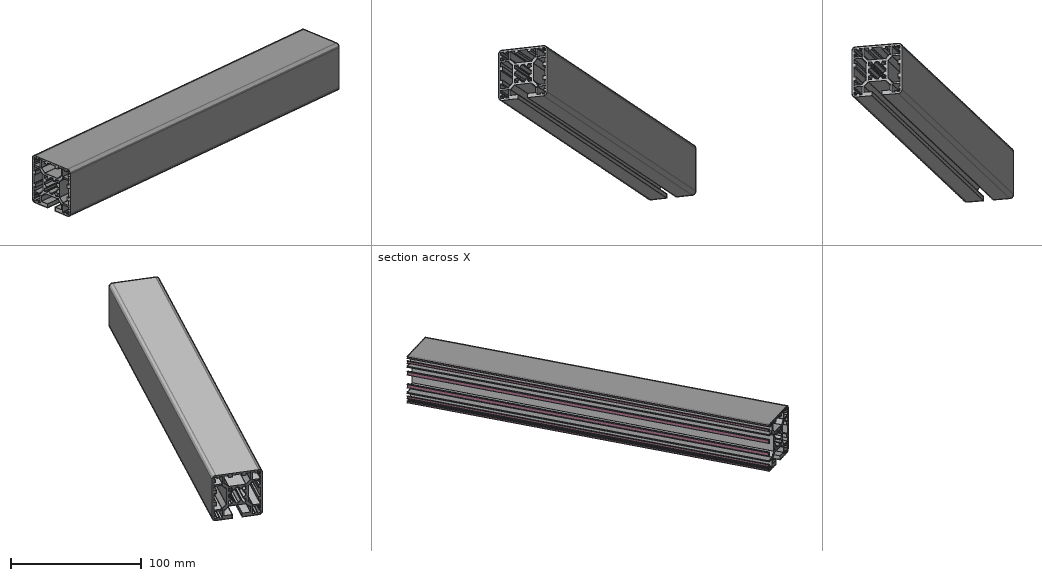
import cadquery as cq
import math

length = 300.0
side = 40.0
corner_radius = 3.0
wall = 1.65

half = side / 2
inner_half = half - wall

slot_width = 7.8
lip_thickness = 3.3
rib_width = 3.0

web = 1.35
cell_start = 10.5
cell_inner = cell_start + web
cell_center = (inner_half + cell_inner) / 2
bump_width = 2.0
bump_height = 1.0
cell_corner_radius = 1.0

core_half = 8.7
core_inner = 7.0
tooth_tip_x = 3.0
tooth_tip_z = 4.8
tooth_tip_width = 1.0
tooth_base_start = 1.0
tooth_base_end = 4.5

strut_width = 2.7
strut_reach = cell_start + web / 2


def block(width, height, x, z):
    """Full-length bar of rectangular section centred on (x, z)."""
    return cq.Workplane("XY").box(width, length, height).translate((x, 0, z))


def turned(body, quarter):
    """Body turned about the long axis by a number of quarter turns."""
    return body.rotate((0, 0, 0), (0, 1, 0), 90 * quarter)


def outer_tube():
    """Square tube with rounded corners, the outer wall of the profile."""
    outside = block(side, side, 0, 0).edges("|Y").fillet(corner_radius)
    inside = block(2 * inner_half, 2 * inner_half, 0, 0).edges("|Y").fillet(cell_corner_radius)
    return outside.cut(inside)


def corner_cell():
    """Two webs closing off the upper right corner, and the bumps on the outer walls."""
    span = half - wall / 2 - cell_start
    middle = cell_start + span / 2
    web_middle = cell_start + web / 2
    bump_middle = inner_half - bump_height / 2
    cell = block(web, span, web_middle, middle)
    cell = cell.union(block(span, web, middle, web_middle))
    cell = cell.union(block(bump_width, bump_height, cell_center, bump_middle))
    return cell.union(block(bump_height, bump_width, bump_middle, cell_center))


def strut():
    """Diagonal web from the core to the upper right corner cell."""
    reach = strut_reach * math.sqrt(2)
    start = core_inner * math.sqrt(2)
    bar = block(reach - start, strut_width, (reach + start) / 2, 0)
    return bar.rotate((0, 0, 0), (0, 1, 0), -45)


def core():
    """Square tube in the middle of the profile."""
    outside = block(2 * core_half, 2 * core_half, 0, 0)
    return outside.cut(block(2 * core_inner, 2 * core_inner, 0, 0))


def tooth(direction):
    """Blunt tooth inside the top wall of the core, right (1) or left (-1) of the middle."""
    root = (core_half + core_inner) / 2
    corners = [
        (tooth_base_start, root),
        (tooth_base_start, core_inner),
        (tooth_tip_x - tooth_tip_width / 2, tooth_tip_z),
        (tooth_tip_x + tooth_tip_width / 2, tooth_tip_z),
        (tooth_base_end, core_inner),
        (tooth_base_end, root),
    ]
    points = [(direction * x, z) for x, z in corners]
    return cq.Workplane("XZ").polyline(points).close().extrude(length / 2, both=True)


def wall_ribs():
    """Pair of ribs inside the top wall, in line with the slot edges."""
    depth = lip_thickness - wall / 2
    z = half - lip_thickness + depth / 2
    x = slot_width / 2 + rib_width / 2
    return block(rib_width, depth, x, z).union(block(rib_width, depth, -x, z))


def slot_lips():
    """Thickened bottom wall between the lower corner cells."""
    depth = lip_thickness - wall / 2
    z = -half + lip_thickness - depth / 2
    return block(2 * cell_inner, depth, 0, z)


profile = outer_tube().union(core()).union(slot_lips())
for quarter in range(4):
    profile = profile.union(turned(corner_cell(), quarter))
    profile = profile.union(turned(strut(), quarter))
    for direction in (-1, 1):
        profile = profile.union(turned(tooth(direction), quarter))
for quarter in (-1, 0, 1):
    profile = profile.union(turned(wall_ribs(), quarter))

result = profile.cut(block(slot_width, 2 * lip_thickness, 0, -half))